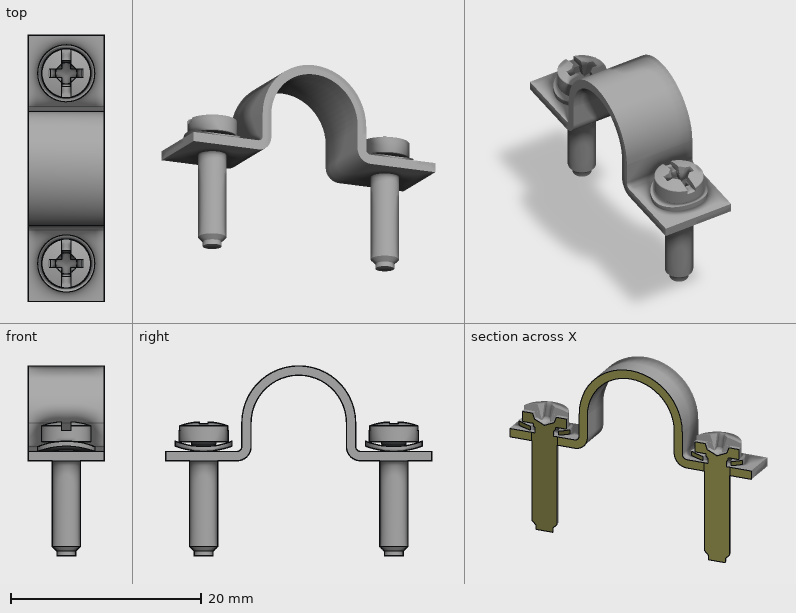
import cadquery as cq
import math

strap_width = 8.0
strap_length = 28.0
thickness = 1.0
height = 10.0
arch_outer_radius = 6.0
arch_inner_radius = arch_outer_radius - thickness
arch_center_z = height - arch_outer_radius
bend_inner_radius = 0.5
bend_outer_radius = bend_inner_radius + thickness
screw_spacing = 20.0

washer_diameter = 6.0
washer_hole_diameter = 3.2
washer_thickness = 0.5
washer_rise = 0.55
washer_bend_radius = ((washer_diameter / 2) ** 2 + washer_rise ** 2) / (2 * washer_rise)

shank_radius = 1.5
shank_bottom_z = -10.0
tip_radius = 1.0
tip_length = 0.5
tip_chamfer = shank_radius - tip_radius

neck_radius = 1.1
collar_radius = 1.3
collar_bottom_z = 1.75
collar_taper = collar_radius - neck_radius

head_radius = 2.6
head_bottom_z = 2.0
head_shoulder_z = 3.7
head_edge = 0.05
dome_radius = head_radius - head_edge
dome_height = 0.45
dome_top_z = head_shoulder_z + dome_height
dome_sphere_radius = (dome_radius ** 2 + dome_height ** 2) / (2 * dome_height)

slot_width = 0.95
slot_floor_z = 3.2
arm_width = 0.88
arm_reach = 1.82
arm_shelf_z = dome_top_z - dome_sphere_radius + math.sqrt(dome_sphere_radius ** 2 - arm_reach ** 2)
arm_top_half = 1.64
arm_bottom_half = 1.12
recess_floor_z = 2.55
recess_cone_depth = 0.5
core_top_half_diagonal = 1.5
core_bottom_half_diagonal = 0.95


def build_strap():
    """Omega-shaped strap bent from flat stock, with a shank hole in each foot."""
    end_y = strap_length / 2
    outer_bend_y = arch_inner_radius + bend_outer_radius
    bend_offset = math.sqrt(0.5)
    bend_z = bend_outer_radius
    lower_mid_y = outer_bend_y - bend_outer_radius * bend_offset
    lower_mid_z = bend_z - bend_outer_radius * bend_offset
    upper_mid_y = outer_bend_y - bend_inner_radius * bend_offset
    upper_mid_z = bend_z - bend_inner_radius * bend_offset

    profile = (
        cq.Workplane("YZ")
        .moveTo(-end_y, 0)
        .lineTo(-outer_bend_y, 0)
        .threePointArc((-lower_mid_y, lower_mid_z), (-arch_inner_radius, bend_z))
        .lineTo(-arch_inner_radius, arch_center_z)
        .threePointArc((0, arch_center_z + arch_inner_radius), (arch_inner_radius, arch_center_z))
        .lineTo(arch_inner_radius, bend_z)
        .threePointArc((lower_mid_y, lower_mid_z), (outer_bend_y, 0))
        .lineTo(end_y, 0)
        .lineTo(end_y, thickness)
        .lineTo(outer_bend_y, thickness)
        .threePointArc((upper_mid_y, upper_mid_z), (arch_outer_radius, bend_z))
        .lineTo(arch_outer_radius, arch_center_z)
        .threePointArc((0, height), (-arch_outer_radius, arch_center_z))
        .lineTo(-arch_outer_radius, bend_z)
        .threePointArc((-upper_mid_y, upper_mid_z), (-outer_bend_y, thickness))
        .lineTo(-end_y, thickness)
        .close()
    )
    strap = profile.extrude(strap_width / 2, both=True)
    holes = (
        cq.Workplane("XY")
        .pushPoints([(0, -screw_spacing / 2), (0, screw_spacing / 2)])
        .circle(shank_radius)
        .extrude(thickness)
    )
    return strap.cut(holes)


def build_washer(y):
    """Round washer curved about the X direction, resting on a strap foot."""
    axis_z = thickness + washer_bend_radius
    curved_sheet = (
        cq.Workplane("YZ")
        .center(y, axis_z)
        .circle(washer_bend_radius)
        .circle(washer_bend_radius - washer_thickness)
        .extrude(washer_diameter, both=True)
    )
    ring = (
        cq.Workplane("XY", origin=(0, y, thickness))
        .circle(washer_diameter / 2)
        .circle(washer_hole_diameter / 2)
        .extrude(washer_bend_radius)
    )
    return ring.intersect(curved_sheet)


def build_screw_blank():
    """Turned screw with a stepped tip, a narrowed neck and a domed head."""
    tip_top_z = shank_bottom_z + tip_length
    dome_mid_radius = dome_radius / 2
    dome_mid_drop = dome_sphere_radius - math.sqrt(dome_sphere_radius ** 2 - dome_mid_radius ** 2)
    return (
        cq.Workplane("XZ")
        .moveTo(0, shank_bottom_z)
        .lineTo(tip_radius, shank_bottom_z)
        .lineTo(tip_radius, tip_top_z)
        .lineTo(shank_radius, tip_top_z + tip_chamfer)
        .lineTo(shank_radius, thickness)
        .lineTo(neck_radius, thickness)
        .lineTo(neck_radius, collar_bottom_z - collar_taper)
        .lineTo(collar_radius, collar_bottom_z)
        .lineTo(collar_radius, head_bottom_z)
        .lineTo(head_radius - head_edge, head_bottom_z)
        .lineTo(head_radius, head_bottom_z + head_edge)
        .lineTo(head_radius, head_shoulder_z - head_edge)
        .lineTo(dome_radius, head_shoulder_z)
        .threePointArc((dome_mid_radius, dome_top_z - dome_mid_drop), (0, dome_top_z))
        .close()
        .revolve(360, (0, 0), (0, 1))
    )


def build_drive_cutter():
    """Straight slot along Y combined with a tapered cross recess."""
    head_diameter = 2 * head_radius
    slot = (
        cq.Workplane("XY", origin=(0, 0, slot_floor_z))
        .rect(slot_width, head_diameter)
        .extrude(dome_top_z - slot_floor_z)
    )
    shelf = (
        cq.Workplane("XY", origin=(0, 0, arm_shelf_z))
        .rect(head_diameter, arm_width)
        .extrude(dome_top_z - arm_shelf_z)
    )
    arm = (
        cq.Workplane("XZ")
        .moveTo(-arm_bottom_half, recess_floor_z)
        .lineTo(arm_bottom_half, recess_floor_z)
        .lineTo(arm_top_half, arm_shelf_z)
        .lineTo(-arm_top_half, arm_shelf_z)
        .close()
        .extrude(arm_width / 2, both=True)
    )
    core = (
        cq.Workplane("XY", origin=(0, 0, recess_floor_z))
        .polygon(4, 2 * core_bottom_half_diagonal)
        .workplane(offset=dome_top_z - recess_floor_z)
        .polygon(4, 2 * core_top_half_diagonal)
        .loft()
    )
    cross = arm.union(arm.rotate((0, 0, 0), (0, 0, 1), 90)).union(core)
    cone_tip_z = recess_floor_z - recess_cone_depth
    cone = (
        cq.Workplane("XZ")
        .moveTo(0, cone_tip_z)
        .lineTo(arm_bottom_half, recess_floor_z)
        .lineTo(0, recess_floor_z)
        .close()
        .revolve(360, (0, 0), (0, 1))
    )
    cross_outline = (
        cross.faces("<Z")
        .wires()
        .toPending()
        .workplane()
        .extrude(recess_cone_depth, combine=False)
    )
    conical_floor = cone.intersect(cross_outline)
    return slot.union(shelf).union(cross).union(conical_floor)


def build_screw(y):
    """Screw standing in the strap foot at the given Y position."""
    return build_screw_blank().cut(build_drive_cutter()).translate((0, y, 0))


screw_positions = [-screw_spacing / 2, screw_spacing / 2]
strap = build_strap()
washers = [build_washer(y) for y in screw_positions]
screws = [build_screw(y) for y in screw_positions]

result = cq.Compound.makeCompound(
    [strap.solids().val()]
    + [washer.solids().val() for washer in washers]
    + [screw.solids().val() for screw in screws]
)